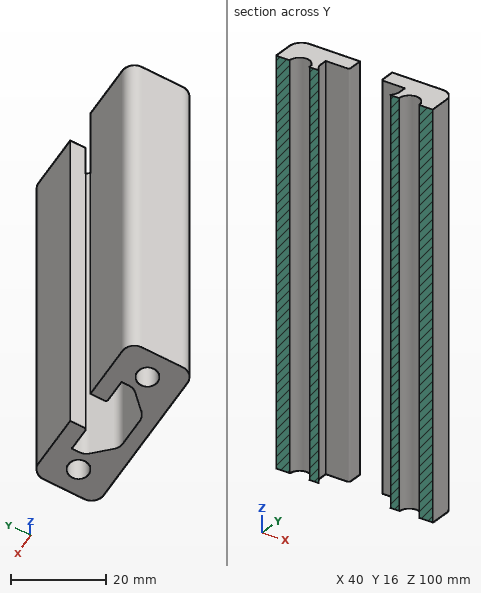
import cadquery as cq

width = 40.0
depth = 16.0
length = 100.0
corner_radius = 3.0

slot_width = 8.2
lip_thickness = 4.0
channel_width = 20.2
channel_side_depth = 3.0
channel_floor_width = 9.4
floor_thickness = 3.5
bend_radius = 3.0
lip_edge_radius = 0.5

hole_diameter = 5.0
hole_spacing = 28.0

back_y = depth / 2
lip_y = back_y - lip_thickness
side_end_y = lip_y - channel_side_depth
floor_y = -depth / 2 + floor_thickness


def make_body():
    """Solid bar with rounded long edges."""
    return cq.Workplane("XY").box(width, depth, length).edges("|Z").fillet(corner_radius)


def round_edges(solid, points, radius):
    """Fillet the long edges of a solid that pass through the given profile points."""
    for x, y in points:
        nearest = cq.selectors.NearestToPointSelector((x, y, 0))
        solid = solid.edges("|Z").edges(nearest).fillet(radius)
    return solid


def mirrored(point):
    """A profile point together with its mirror image across the YZ plane."""
    x, y = point
    return [(x, y), (-x, y)]


def make_slot():
    """T-slot with a tapered floor, rounded bends and eased lip edges."""
    lip_edge = (slot_width / 2, lip_y)
    side_end = (channel_width / 2, side_end_y)
    floor_end = (channel_floor_width / 2, floor_y)
    right_half = [
        (slot_width / 2, back_y),
        lip_edge,
        (channel_width / 2, lip_y),
        side_end,
        floor_end,
    ]
    left_half = [(-x, y) for x, y in reversed(right_half)]
    outline = cq.Workplane("XY").polyline(right_half + left_half).close()
    slot = outline.extrude(length).translate((0, 0, -length / 2))
    slot = round_edges(slot, mirrored(side_end) + mirrored(floor_end), bend_radius)
    return round_edges(slot, mirrored(lip_edge), lip_edge_radius)


def make_holes():
    """Pair of round bores through the whole length."""
    centers = [(-hole_spacing / 2, 0), (hole_spacing / 2, 0)]
    bores = cq.Workplane("XY").pushPoints(centers).circle(hole_diameter / 2)
    return bores.extrude(length / 2, both=True)


result = make_body().cut(make_slot()).cut(make_holes())